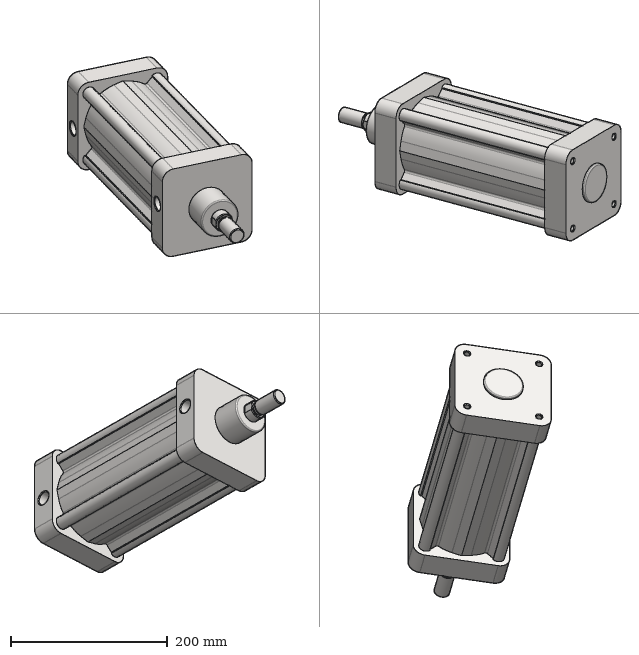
import cadquery as cq
import math


total_length = 391.0
spigot_length = 3.7
cap_length = 33.0
front_cap_end = 298.5
bearing_length = 39.0
shoulder_end = 351.0
thread_start = 354.5

rear_cap_end = spigot_length + cap_length
front_cap_start = front_cap_end - cap_length
bearing_end = front_cap_end + bearing_length
barrel_length = front_cap_start - rear_cap_end

cap_width = 126.0
cap_corner_radius = 15.2
boss_radius = 26.0
boss_rounding = 1.5

port_radius = 9.0
port_chamfer = 1.0
port_depth = 23.5
port_offset = 8.2

fixing_hole_offset = 47.0
fixing_hole_radius = 3.5
fixing_hole_chamfer = 1.0
fixing_hole_depth = 19.5

barrel_radius = 53.0
ridge_half_width = 12.5
rib_half_width = 7.5
rib_root_radius = 2.95
bead_offset = 47.5
bead_radius = 8.5

rod_radius = 12.5
flats_half_width = 11.5
flats_gap = 0.8
shoulder_chamfer = 1.0
neck_radius = 9.0
thread_radius = 10.0
thread_chamfer = 1.0


def cylinder(x_start, x_end, radius):
    """Solid cylinder on the main axis."""
    return cq.Workplane("YZ").workplane(offset=x_start).circle(radius).extrude(x_end - x_start)


def cap_block(x_start):
    """Square end plate with rounded corners."""
    return (
        cq.Workplane("YZ")
        .workplane(offset=x_start)
        .rect(cap_width, cap_width)
        .extrude(cap_length)
        .edges("|X")
        .fillet(cap_corner_radius)
    )


def chamfered_hole_cutter(radius, chamfer, depth):
    """Cutter along +Z: a blind bore with a 45 degree chamfer at its mouth, Z = 0."""
    return (
        cq.Workplane("XZ")
        .lineTo(radius + chamfer, 0)
        .lineTo(radius, chamfer)
        .lineTo(radius, depth)
        .lineTo(0, depth)
        .close()
        .revolve(360, (0, 0, 0), (0, 1, 0))
    )


def port_cutter(x, z):
    """Port bored from the -Y side toward the axis."""
    cutter = chamfered_hole_cutter(port_radius, port_chamfer, port_depth)
    return cutter.rotate((0, 0, 0), (1, 0, 0), -90).translate((x, -cap_width / 2, z))


def fixing_hole_cutter(y, z):
    """Fixing hole bored from the rear face along +X."""
    cutter = chamfered_hole_cutter(fixing_hole_radius, fixing_hole_chamfer, fixing_hole_depth)
    return cutter.rotate((0, 0, 0), (0, 1, 0), 90).translate((spigot_length, y, z))


def make_rear_cap():
    """Rear cap with its spigot, four fixing holes and a port."""
    spigot = cylinder(0, spigot_length, boss_radius).faces("<X").edges().fillet(boss_rounding)
    cap = cap_block(spigot_length).union(spigot)
    for y in (-fixing_hole_offset, fixing_hole_offset):
        for z in (-fixing_hole_offset, fixing_hole_offset):
            cap = cap.cut(fixing_hole_cutter(y, z))
    return cap.cut(port_cutter(spigot_length + cap_length / 2, -port_offset))


def make_front_cap():
    """Front cap with its long rod bearing and a port."""
    bearing = cylinder(front_cap_end, bearing_end, boss_radius).faces(">X").edges().fillet(boss_rounding)
    cap = cap_block(front_cap_start).union(bearing)
    return cap.cut(port_cutter(front_cap_start + cap_length / 2, port_offset))


def barrel_plane():
    """Cross-section plane where the barrel starts; local axes are Y and Z."""
    return cq.Workplane("YZ").workplane(offset=rear_cap_end)


def make_side_ridge():
    """Shallow ridge on the +Y side: two flats tangent to the round body."""
    flat_angle = math.asin(ridge_half_width / barrel_radius)
    flat_root = barrel_radius * math.cos(flat_angle)
    ridge_peak = barrel_radius / math.cos(flat_angle)
    return (
        barrel_plane()
        .lineTo(flat_root, -ridge_half_width)
        .lineTo(ridge_peak, 0)
        .lineTo(flat_root, ridge_half_width)
        .close()
        .extrude(barrel_length)
    )


def make_rib():
    """Rib pointing along +Y: rounded root, straight neck and a half-round bead with 45 degree shoulders."""
    bead_center = bead_offset * math.sqrt(2)
    neck_end = bead_center - (bead_radius - rib_half_width)

    root_center_z = rib_half_width + rib_root_radius
    root_center_angle = math.asin(root_center_z / (barrel_radius + rib_root_radius))
    root_center_y = root_center_z / math.tan(root_center_angle)
    root_start_y = barrel_radius * math.cos(root_center_angle)
    root_start_z = barrel_radius * math.sin(root_center_angle)
    root_middle_angle = root_center_angle / 2 - 3 * math.pi / 4
    root_middle_y = root_center_y + rib_root_radius * math.cos(root_middle_angle)
    root_middle_z = root_center_z + rib_root_radius * math.sin(root_middle_angle)

    return (
        barrel_plane()
        .lineTo(root_start_y, -root_start_z)
        .threePointArc((root_middle_y, -root_middle_z), (root_center_y, -rib_half_width))
        .lineTo(neck_end, -rib_half_width)
        .lineTo(bead_center, -bead_radius)
        .threePointArc((bead_center + bead_radius, 0), (bead_center, bead_radius))
        .lineTo(neck_end, rib_half_width)
        .lineTo(root_center_y, rib_half_width)
        .threePointArc((root_middle_y, root_middle_z), (root_start_y, root_start_z))
        .close()
        .extrude(barrel_length)
    )


def make_barrel():
    """Round body with a ridge on each side and a rib on each diagonal."""
    barrel = cylinder(rear_cap_end, front_cap_start, barrel_radius)
    ridge = make_side_ridge()
    rib = make_rib()
    for side_angle in (0, 90, 180, 270):
        barrel = barrel.union(ridge.rotate((0, 0, 0), (1, 0, 0), side_angle))
        barrel = barrel.union(rib.rotate((0, 0, 0), (1, 0, 0), side_angle + 45))
    return barrel


def make_piston_rod():
    """Exposed rod end: shoulder with two wrench flats, neck and threaded end."""
    shoulder = cylinder(bearing_end, shoulder_end, rod_radius).faces(">X").chamfer(shoulder_chamfer)
    flats_start = bearing_end + flats_gap
    flats_length = shoulder_end - flats_start
    flat_depth = rod_radius - flats_half_width
    for side in (-1, 1):
        flat_center = (flats_start + flats_length / 2, side * (flats_half_width + flat_depth / 2), 0)
        flat_cut = cq.Workplane(origin=flat_center).box(flats_length, flat_depth, 2 * rod_radius)
        shoulder = shoulder.cut(flat_cut)
    neck = cylinder(shoulder_end, thread_start, neck_radius)
    thread = cylinder(thread_start, total_length, thread_radius).faces(">X").chamfer(thread_chamfer)
    return shoulder.union(neck).union(thread)


rear_cap = make_rear_cap()
barrel = make_barrel()
front_cap = make_front_cap()
piston_rod = make_piston_rod()

result = cq.Compound.makeCompound([
    rear_cap.val(),
    barrel.val(),
    front_cap.val(),
    piston_rod.val(),
])